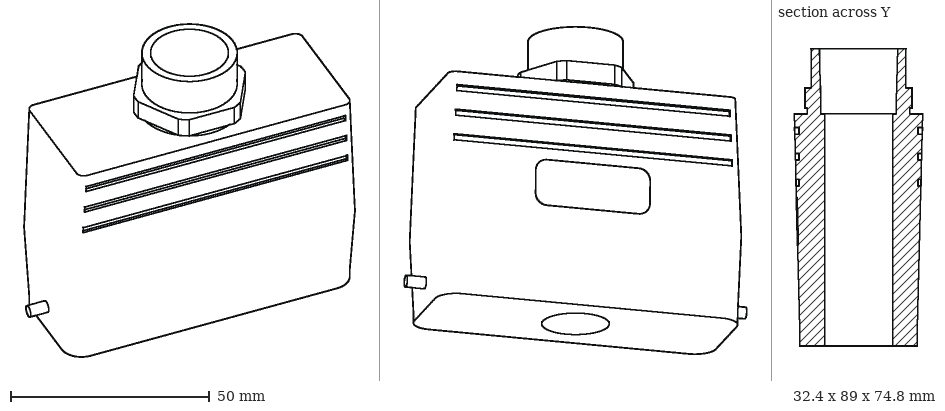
import cadquery as cq

BASE_BAND_TOP = 2.6
CORNER_BREAK = 22.5
BODY_TOP = 58.4

BASE_WIDTH = 29.6
TOP_WIDTH = 32.4
BASE_LENGTH = 79.1
BREAK_LENGTH = 79.0
TOP_LENGTH = 75.3
BASE_CORNER_RADIUS = 5.5
UPPER_CORNER_RADIUS = 2.0

SIDE_SLOPE = (TOP_WIDTH - BASE_WIDTH) / (BODY_TOP - BASE_BAND_TOP)

GROOVE_FLOOR_X = 15.0
GROOVE_HEIGHT = 1.6
GROOVE_PITCH = 6.5
LOWEST_GROOVE_BOTTOM = 40.3
GROOVE_COUNT = 3

LABEL_LENGTH = 30.0
LABEL_HEIGHT = 12.0
LABEL_RADIUS = 3.0
LABEL_CENTER_Z = 31.4
LABEL_DEPTH = 0.2

PIN_DIAMETER = 3.0
PIN_SPAN = 89.0
PIN_Z = 7.1

COLLAR_DIAMETER = 26.0
COLLAR_TOP = 59.8
HEX_ACROSS_FLATS = 27.0
HEX_CORNER_DIAMETER = 29.75
HEX_TOP = 64.9
NECK_DIAMETER = 24.0
PART_TOP = 74.8
MOUTH_TOP_DIAMETER = 19.6
SEAT_DIAMETER = 18.92
MOUTH_BOTTOM = 62.2
BORE_DIAMETER = 17.0


def width_at(z):
    """Width of the body along X at height z above the base band."""
    return BASE_WIDTH + SIDE_SLOPE * (z - BASE_BAND_TOP)


def length_at(z):
    """Length of the tapering upper body along Y at height z above the corner break."""
    rise = (z - CORNER_BREAK) / (BODY_TOP - CORNER_BREAK)
    return BREAK_LENGTH + (TOP_LENGTH - BREAK_LENGTH) * rise


def cylinder(diameter, bottom, top):
    """Upright cylinder on the Z axis between two heights."""
    return cq.Workplane("XY", origin=(0, 0, bottom)).circle(diameter / 2).extrude(top - bottom)


def rounded_section(width, length, radius, z):
    """Rounded rectangle centred on the Z axis at height z."""
    sketch = cq.Sketch().rect(width, length).vertices().fillet(radius)
    return sketch.moved(cq.Location(cq.Vector(0, 0, z)))


def make_body():
    """Straight base band, then walls that widen in X; the ends lean inward above the corner break."""
    base = rounded_section(BASE_WIDTH, BASE_LENGTH, BASE_CORNER_RADIUS, 0)
    band_top = rounded_section(BASE_WIDTH, BASE_LENGTH, BASE_CORNER_RADIUS, BASE_BAND_TOP)
    middle = rounded_section(width_at(CORNER_BREAK), BREAK_LENGTH, UPPER_CORNER_RADIUS, CORNER_BREAK)
    top = rounded_section(TOP_WIDTH, TOP_LENGTH, UPPER_CORNER_RADIUS, BODY_TOP)
    return cq.Workplane("XY").placeSketch(base, band_top, middle, top).loft(ruled=True)


def make_grooves():
    """Grip grooves with upright floors, each as long as the flat side between the corners."""
    grooves = cq.Workplane("XY")
    for index in range(GROOVE_COUNT):
        bottom = LOWEST_GROOVE_BOTTOM + index * GROOVE_PITCH
        length = length_at(bottom + GROOVE_HEIGHT) - 2 * UPPER_CORNER_RADIUS
        for side in (-1, 1):
            center_x = side * (GROOVE_FLOOR_X + TOP_WIDTH / 2)
            groove = cq.Workplane("XY", origin=(center_x, 0, bottom)).box(
                TOP_WIDTH, length, GROOVE_HEIGHT, centered=(True, True, False)
            )
            grooves = grooves.add(groove)
    return grooves.combine()


def make_label_recess():
    """Rounded rectangle sunk into the sloping -X side."""
    side_x = -width_at(LABEL_CENTER_Z) / 2
    side_plane = cq.Plane(
        origin=(side_x, 0, LABEL_CENTER_Z),
        xDir=(0, -1, 0),
        normal=(-1, 0, -SIDE_SLOPE / 2),
    )
    outline = cq.Sketch().rect(LABEL_LENGTH, LABEL_HEIGHT).vertices().fillet(LABEL_RADIUS)
    return cq.Workplane(side_plane).placeSketch(outline).extrude(-LABEL_DEPTH)


def make_pins():
    """One rod along Y whose ends stand out of both short sides."""
    start = (0, PIN_SPAN / 2, PIN_Z)
    return cq.Workplane("XZ", origin=start).circle(PIN_DIAMETER / 2).extrude(PIN_SPAN)


def make_gland():
    """Collar, hexagon with rounded-off corners and round neck, stacked on the body."""
    collar = cylinder(COLLAR_DIAMETER, BODY_TOP, COLLAR_TOP)
    hexagon = (
        cq.Workplane("XY", origin=(0, 0, COLLAR_TOP))
        .polygon(6, HEX_ACROSS_FLATS, circumscribed=True)
        .extrude(HEX_TOP - COLLAR_TOP)
        .intersect(cylinder(HEX_CORNER_DIAMETER, COLLAR_TOP, HEX_TOP))
    )
    neck = cylinder(NECK_DIAMETER, HEX_TOP, PART_TOP)
    return collar.union(hexagon).union(neck)


def make_cable_passage():
    """Bore through the whole part, with a wider seat and a tapered mouth in the gland."""
    bore = cylinder(BORE_DIAMETER, 0, PART_TOP)
    mouth = (
        cq.Workplane("XY", origin=(0, 0, MOUTH_BOTTOM))
        .circle(SEAT_DIAMETER / 2)
        .workplane(offset=PART_TOP - MOUTH_BOTTOM)
        .circle(MOUTH_TOP_DIAMETER / 2)
        .loft()
    )
    seat = cylinder(SEAT_DIAMETER, BODY_TOP, MOUTH_BOTTOM)
    return bore.union(seat).union(mouth)


result = (
    make_body()
    .cut(make_grooves())
    .cut(make_label_recess())
    .union(make_pins())
    .union(make_gland())
    .cut(make_cable_passage())
)